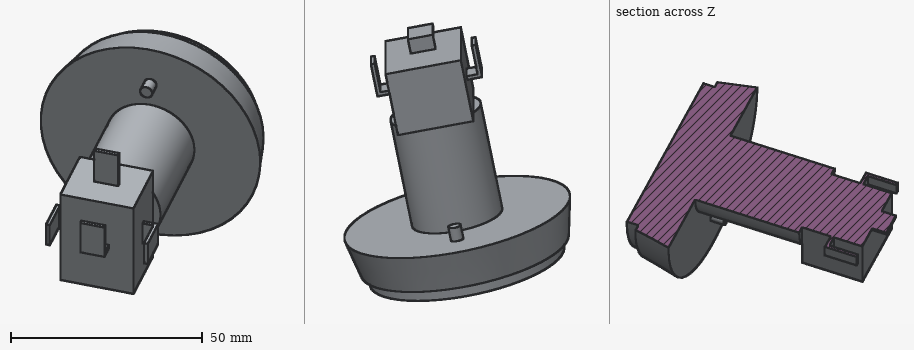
import cadquery as cq

total_length = 63.9
cap_radius = 25.9
cap_length = 3.2
bezel_rear_radius = 27.7
bezel_diameter = 60.0
bezel_front_radius = bezel_diameter / 2
bezel_length = 10.35
barrel_radius = 12.0
barrel_length = 29.4
body_width = 20.0
body_height = 28.0
body_length = 17.0

pin_radius = 1.65
pin_length = 3.7
pin_offset = 18.8

tab_width = 6.6
tab_thickness = 1.0
top_tab_height = 10.05
side_tab_reach = 3.9
front_tab_height = 9.6
tab_setback = 8.0

bezel_rear = -cap_length
bezel_face = bezel_rear - bezel_length
barrel_end = bezel_face - barrel_length
body_front = barrel_end - body_length
tab_front = -total_length
tab_rear = barrel_end - tab_setback

tab_span = (-tab_width / 2, tab_width / 2)


def block(x_range, y_range, z_range):
    """Box spanning the given (low, high) range on each axis."""
    lows, highs = zip(x_range, y_range, z_range)
    sizes = [high - low for low, high in zip(lows, highs)]
    return cq.Workplane("XY").box(*sizes, centered=False).translate(lows)


def turned_profile():
    """Cap, tapered bezel and barrel, revolved about Y."""
    return (
        cq.Workplane("XY")
        .moveTo(0, 0)
        .lineTo(cap_radius, 0)
        .lineTo(cap_radius, bezel_rear)
        .lineTo(bezel_rear_radius, bezel_rear)
        .lineTo(bezel_front_radius, bezel_face)
        .lineTo(barrel_radius, bezel_face)
        .lineTo(barrel_radius, barrel_end)
        .lineTo(0, barrel_end)
        .close()
        .revolve(360, (0, 0, 0), (0, 1, 0))
    )


def locating_pins():
    """Two round pins, above and below the barrel."""
    return (
        cq.Workplane("XZ", origin=(0, bezel_face, 0))
        .pushPoints([(0, pin_offset), (0, -pin_offset)])
        .circle(pin_radius)
        .extrude(pin_length)
    )


def top_tab():
    """Straight tab standing on the top of the body."""
    body_top = body_height / 2
    return block(
        tab_span,
        (tab_rear - tab_thickness, tab_rear),
        (body_top, body_top + top_tab_height),
    )


def side_tab():
    """L-shaped tab on the +X side, bent toward the body's front face."""
    inner = body_width / 2
    outer = inner + side_tab_reach
    foot = block((inner, outer), (tab_rear - tab_thickness, tab_rear), tab_span)
    leg = block((outer - tab_thickness, outer), (body_front, tab_rear), tab_span)
    return foot.union(leg)


def front_tab():
    """L-shaped tab on the front face, bent upward."""
    bottom = -tab_thickness / 2
    foot = block(tab_span, (tab_front, body_front), (bottom, -bottom))
    leg = block(
        tab_span,
        (tab_front, tab_front + tab_thickness),
        (bottom, bottom + front_tab_height),
    )
    return foot.union(leg)


body = block(
    (-body_width / 2, body_width / 2),
    (body_front, barrel_end),
    (-body_height / 2, body_height / 2),
)

result = (
    turned_profile()
    .union(locating_pins())
    .union(body)
    .union(top_tab())
    .union(side_tab())
    .union(side_tab().mirror("YZ"))
    .union(front_tab())
)